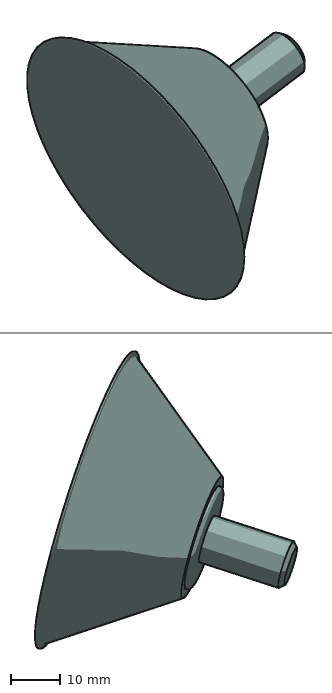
import cadquery as cq
import math


RIM_DIAMETER = 63.5
RIM_THICKNESS = 0.5

CONE_BASE_DIAMETER = 61.7
CONE_TOP_DIAMETER = 26.0
CONE_TOP_Y = 25.0
NECK_RADIUS = 1.0

WASHER_DIAMETER = 22.0
WASHER_HEIGHT = 1.0
WASHER_TOP_Y = CONE_TOP_Y + WASHER_HEIGHT

STUD_DIAMETER = 10.0
STUD_LENGTH = 18.0
STUD_CHAMFER = 1.0


def revolve_about_y(profile):
    """Turn a closed half profile, drawn in X and Y, about the Y axis."""
    return profile.close().revolve(360, (0, 0), (0, 1))


def make_body():
    """Cone on a thin round-edged rim, with a filleted neck between the two."""
    edge_radius = RIM_THICKNESS / 2
    edge_center_x = RIM_DIAMETER / 2 - edge_radius
    profile = (
        cq.Workplane("XY")
        .lineTo(edge_center_x, 0)
        .threePointArc((RIM_DIAMETER / 2, edge_radius), (edge_center_x, RIM_THICKNESS))
        .lineTo(CONE_BASE_DIAMETER / 2, RIM_THICKNESS)
        .lineTo(CONE_TOP_DIAMETER / 2, CONE_TOP_Y)
        .lineTo(0, CONE_TOP_Y)
    )
    body = revolve_about_y(profile)
    neck_edge = cq.selectors.RadiusNthSelector(2)
    return body.edges("%CIRCLE").edges(neck_edge).fillet(NECK_RADIUS)


def make_washer():
    """Raised disc on the small end of the cone, with a quarter-round edge."""
    radius = WASHER_DIAMETER / 2
    flat_radius = radius - WASHER_HEIGHT
    diagonal = WASHER_HEIGHT * math.sqrt(0.5)
    profile = (
        cq.Workplane("XY")
        .moveTo(0, CONE_TOP_Y)
        .lineTo(radius, CONE_TOP_Y)
        .threePointArc((flat_radius + diagonal, CONE_TOP_Y + diagonal), (flat_radius, WASHER_TOP_Y))
        .lineTo(0, WASHER_TOP_Y)
    )
    return revolve_about_y(profile)


def make_stud():
    """Mounting stud with a chamfered tip."""
    radius = STUD_DIAMETER / 2
    tip_y = WASHER_TOP_Y + STUD_LENGTH
    profile = (
        cq.Workplane("XY")
        .moveTo(0, WASHER_TOP_Y)
        .lineTo(radius, WASHER_TOP_Y)
        .lineTo(radius, tip_y - STUD_CHAMFER)
        .lineTo(radius - STUD_CHAMFER, tip_y)
        .lineTo(0, tip_y)
    )
    return revolve_about_y(profile)


result = make_body().union(make_washer()).union(make_stud())